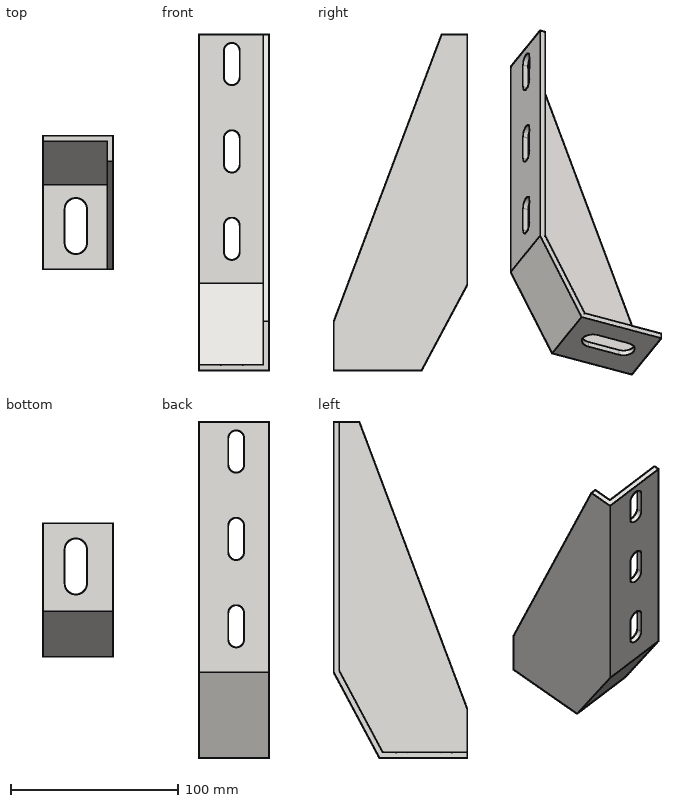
import cadquery as cq
import math

width = 42.0
depth = 80.0
height = 201.0
sheet = 3.5

top_depth = 15.5
front_height = 29.3
bend_height = 51.3
bend_run = 27.3

slot_x = 19.7
back_slot_width = 9.2
back_slot_length = 25.1
back_slot_top = 183.3
back_slot_pitch = 52.3
back_slot_count = 3
base_slot_width = 13.3
base_slot_length = 33.4
base_slot_y = 26.0

slope_angle = math.atan2(bend_height, bend_run)
back_inset = sheet * math.tan((math.pi / 2 - slope_angle) / 2)
base_inset = sheet * math.tan(slope_angle / 2)


def extrude_profile(points, length):
    """Extrude a (y, z) outline along +X from x = 0."""
    return cq.Workplane("YZ").polyline(points).close().extrude(length)


def make_flanges():
    """Back, sloped and base flanges as one bent strip."""
    return extrude_profile(
        [
            (0, 0),
            (depth - bend_run, 0),
            (depth, bend_height),
            (depth, height),
            (depth - sheet, height),
            (depth - sheet, bend_height + back_inset),
            (depth - bend_run - base_inset, sheet),
            (0, sheet),
        ],
        width,
    )


def make_web():
    """Tapered side plate closing the +X side."""
    web = extrude_profile(
        [
            (0, 0),
            (depth - bend_run, 0),
            (depth, bend_height),
            (depth, height),
            (depth - top_depth, height),
            (0, front_height),
        ],
        sheet,
    )
    return web.translate((width - sheet, 0, 0))


def make_back_slots():
    """Column of vertical slot cutters through the back flange."""
    centres = [(slot_x, back_slot_top - i * back_slot_pitch) for i in range(back_slot_count)]
    return (
        cq.Workplane("XZ", origin=(0, depth, 0))
        .pushPoints(centres)
        .slot2D(back_slot_length, back_slot_width, 90)
        .extrude(sheet)
    )


def make_base_slot():
    """Slot cutter through the base flange, running front to back."""
    return (
        cq.Workplane("XY")
        .center(slot_x, base_slot_y)
        .slot2D(base_slot_length, base_slot_width, 90)
        .extrude(sheet)
    )


result = make_flanges().union(make_web()).cut(make_back_slots()).cut(make_base_slot())